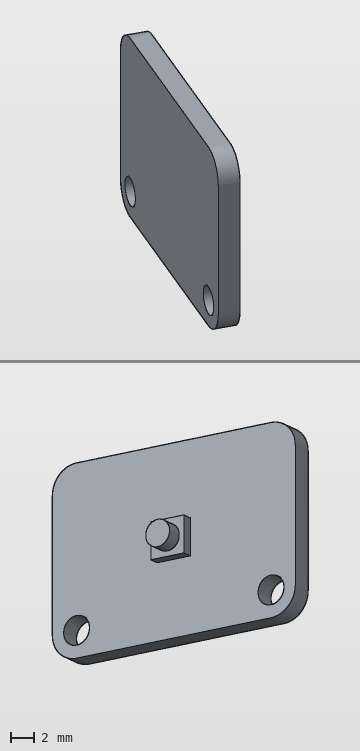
import cadquery as cq

plate_width = 25.4
plate_height = 17.78
plate_thickness = 2.0
corner_radius = 2.55

hole_diameter = 2.7

pad_side = 3.45
pad_thickness = 1.0
stud_diameter = 2.5
stud_length = 1.5

front = cq.Workplane("XZ")
plate_back = front.workplane(offset=-plate_thickness)
pad_back = plate_back.workplane(offset=-pad_thickness)

hole_x = plate_width / 2 - corner_radius
hole_z = -plate_height / 2 + corner_radius

plate = front.rect(plate_width, plate_height).extrude(-plate_thickness).edges("|Y").fillet(corner_radius)
holes = (
    front.pushPoints([(-hole_x, hole_z), (hole_x, hole_z)])
    .circle(hole_diameter / 2)
    .extrude(-plate_thickness)
)
pad = plate_back.rect(pad_side, pad_side).extrude(-pad_thickness)
stud = pad_back.circle(stud_diameter / 2).extrude(-stud_length)

result = plate.cut(holes).union(pad).union(stud)